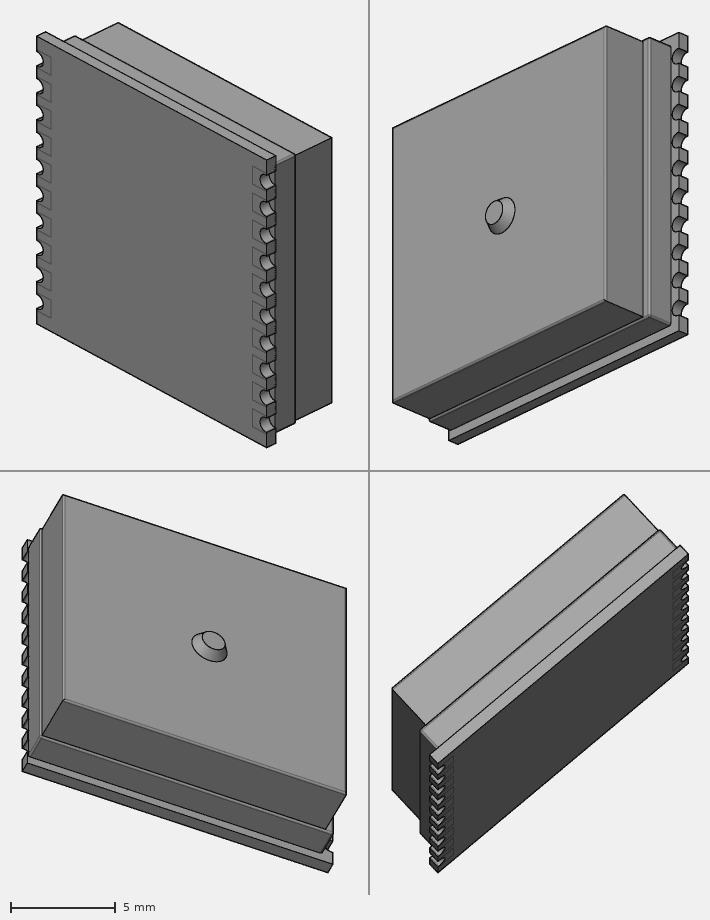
import cadquery as cq

board_side = 16.0
board_thickness = 0.6

pads_per_side = 10
pad_pitch = 1.5
pad_size = 1.0
pad_thickness = 0.02
notch_radius = 0.4
notch_inset = 0.06

base_width = 15.38
base_height = 15.0
base_center_x = 0.25
base_top = 2.0
body_width = 14.85
body_height = 14.75
body_center_x = 0.425
body_top = 4.5
edge_radius = 0.1

nub_x = 0.2
nub_z = -0.18
nub_bottom_radius = 0.92
nub_top_radius = 0.6
nub_top = 5.0


def block(width, height, y_start, y_end, center_x=0.0, center_z=0.0):
    """Box spanning y_start to y_end, centred on (center_x, center_z) in XZ."""
    length = y_end - y_start
    center = (center_x, y_start + length / 2, center_z)
    return cq.Workplane("XY").box(width, length, height).translate(center)


def pad_block(side, z):
    """Square pad reaching the board edge, flush with the board face."""
    pad_x = side * (board_side - pad_size) / 2
    return block(pad_size, pad_size, 0, pad_thickness, pad_x, z)


def notch_cut(side, z):
    """U-shaped notch through the board edge."""
    edge_x = side * board_side / 2
    center_x = edge_x - side * notch_inset
    round_end = (
        cq.Workplane("XZ")
        .center(center_x, z)
        .circle(notch_radius)
        .extrude(-board_thickness)
    )
    mouth = block(2 * notch_inset, 2 * notch_radius, 0, board_thickness, edge_x, z)
    return round_end.union(mouth)


def make_board():
    board = block(board_side, board_side, 0, board_thickness)
    for side in (-1, 1):
        for index in range(pads_per_side):
            z = (index - (pads_per_side - 1) / 2) * pad_pitch
            pad = pad_block(side, z)
            board = board.cut(pad, clean=False).union(pad, clean=False)
            board = board.cut(notch_cut(side, z), clean=False)
    return board


def make_housing():
    base = block(base_width, base_height, board_thickness, base_top, base_center_x)
    base = base.edges("|Y or >Y").fillet(edge_radius)
    body = block(body_width, body_height, board_thickness, body_top, body_center_x)
    body = body.faces(">Y").edges().fillet(edge_radius)
    return base.union(body)


def make_nub():
    return (
        cq.Workplane("XZ", origin=(nub_x, body_top, nub_z))
        .circle(nub_bottom_radius)
        .workplane(offset=body_top - nub_top)
        .circle(nub_top_radius)
        .loft()
    )


board_with_housing = make_board().union(make_housing(), clean=False)
result = board_with_housing.union(make_nub(), clean=False)